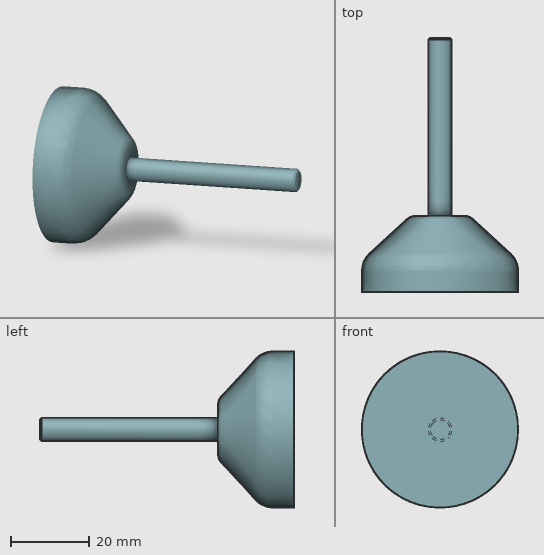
import cadquery as cq

overall_length = 65.0

pad_radius = 20.0
pad_height = 19.5
pad_top_radius = 7.5
cone_start = 8.0
shoulder_fillet = 6.0
top_fillet = 3.0

rod_radius = 3.0
rod_tip_chamfer = 0.5


def make_pad():
    """Cylinder topped by a cone, with both outer corners rounded."""
    half_section = (
        cq.Workplane("XY")
        .lineTo(pad_radius, 0)
        .lineTo(pad_radius, cone_start)
        .lineTo(pad_top_radius, pad_height)
        .lineTo(0, pad_height)
        .close()
    )
    pad = half_section.revolve(360, (0, 0, 0), (0, 1, 0))
    pad = pad.faces(">Y").edges().fillet(top_fillet)
    shoulder = cq.selectors.RadiusNthSelector(-1)
    return pad.edges("%CIRCLE and (not <Y)").edges(shoulder).fillet(shoulder_fillet)


def make_rod():
    """Plain round rod from the sole to the tip, with a chamfered tip edge."""
    rod = cq.Workplane("XZ").circle(rod_radius).extrude(-overall_length)
    return rod.faces(">Y").edges().chamfer(rod_tip_chamfer)


result = make_pad().union(make_rod())